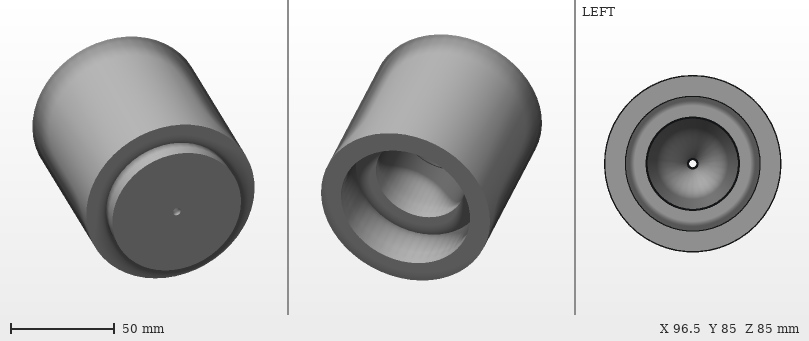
import cadquery as cq

total_length = 96.5
spigot_length = 10.0
body_length = total_length - spigot_length

body_diameter = 85.0
spigot_diameter = 65.0
counterbore_diameter = spigot_diameter
bore_diameter = 45.0
cone_mouth_diameter = 44.0
cone_tip_diameter = 5.0
outlet_diameter = 4.0

counterbore_depth = 25.0
cone_length = 20.0
cone_end = body_length
cone_start = cone_end - cone_length

half_section = [
    (0, body_diameter / 2),
    (body_length, body_diameter / 2),
    (body_length, spigot_diameter / 2),
    (total_length, spigot_diameter / 2),
    (total_length, outlet_diameter / 2),
    (cone_end, outlet_diameter / 2),
    (cone_end, cone_tip_diameter / 2),
    (cone_start, cone_mouth_diameter / 2),
    (cone_start, bore_diameter / 2),
    (counterbore_depth, bore_diameter / 2),
    (counterbore_depth, counterbore_diameter / 2),
    (0, counterbore_diameter / 2),
]

result = cq.Workplane("XZ").polyline(half_section).close().revolve(360, (0, 0, 0), (1, 0, 0))